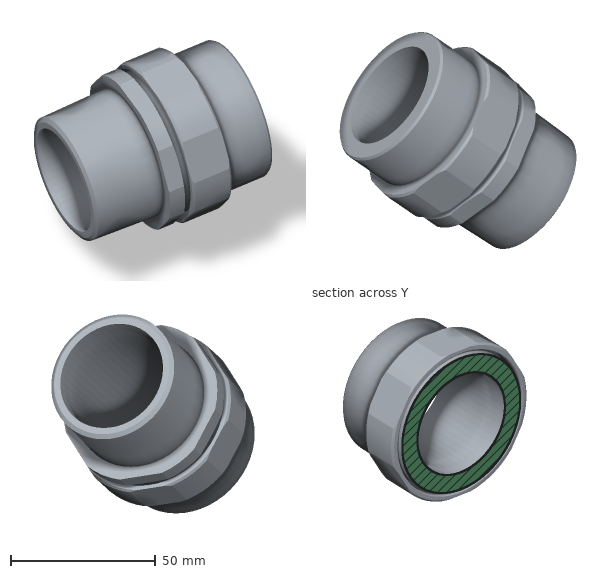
import cadquery as cq
import math


total_length = 68.8
flange_front = 26.2
flange_rear = 32.75
nut_front = 34.8
nut_rear = 50.3
joint = (nut_front + nut_rear) / 2

bore_diameter = 38.6

thread_taper = 1 / 16
thread_base_diameter = 47.85
tip_face_diameter = 43.2
tip_chamfer_length = 0.95
flange_diameter = 57.75
flange_across_flats = 55.55
flange_chamfer_diameter = 54.5
flange_chamfer_length = 0.6
collar_diameter = 52.6

tube_diameter = 51.3
tube_chamfer_length = 0.9
tube_chamfer_depth = 0.6

nut_diameter = 60.1
nut_across_flats = 57.95
nut_chamfer_length = 0.8
nut_chamfer_depth = 0.7
nut_recess_diameter = 55.1
nut_recess_depth = 6.2
nut_recess_chamfer = 0.3


def revolve_profile(points):
    """Revolve a closed outline of (radius, Y) points about the Y axis."""
    return cq.Workplane("XY").polyline(points).close().revolve(360, (0, 0), (0, 1))


def hexagon_prism(across_flats, y_start, y_end):
    """Hexagonal prism along Y with flats facing +Z and -Z."""
    across_corners = across_flats / math.cos(math.pi / 6)
    return (
        cq.Workplane("XZ", origin=(0, y_start, 0))
        .polygon(6, across_corners)
        .extrude(y_start - y_end)
    )


def make_male_end():
    """Tapered pipe with a hexagonal flange and a collar that enters the nut."""
    bore_radius = bore_diameter / 2
    flange_radius = flange_diameter / 2
    collar_radius = collar_diameter / 2
    taper_length = flange_front - tip_chamfer_length
    thread_tip_diameter = thread_base_diameter - thread_taper * taper_length

    pipe = revolve_profile([
        (bore_radius, 0),
        (tip_face_diameter / 2, 0),
        (thread_tip_diameter / 2, tip_chamfer_length),
        (thread_base_diameter / 2, flange_front),
        (bore_radius, flange_front),
    ])
    flange = revolve_profile([
        (bore_radius, flange_front),
        (flange_radius, flange_front),
        (flange_radius, flange_rear - flange_chamfer_length),
        (flange_chamfer_diameter / 2, flange_rear),
        (bore_radius, flange_rear),
    ]).intersect(hexagon_prism(flange_across_flats, flange_front, flange_rear))
    collar = revolve_profile([
        (bore_radius, flange_rear),
        (collar_radius, flange_rear),
        (collar_radius, joint),
        (bore_radius, joint),
    ])
    return pipe.union(flange).union(collar)


def make_rear_tube():
    """Plain tube that carries the nut, chamfered at its outer end."""
    bore_radius = bore_diameter / 2
    tube_radius = tube_diameter / 2
    return revolve_profile([
        (bore_radius, joint),
        (tube_radius, joint),
        (tube_radius, total_length - tube_chamfer_length),
        (tube_radius - tube_chamfer_depth, total_length),
        (bore_radius, total_length),
    ])


def make_union_nut():
    """Hexagonal nut with turned, chamfered corners and a chamfered recess around the collar."""
    tube_hole_radius = tube_diameter / 2
    collar_hole_radius = collar_diameter / 2
    recess_radius = nut_recess_diameter / 2
    nut_radius = nut_diameter / 2
    chamfer_radius = nut_radius - nut_chamfer_depth
    blank = revolve_profile([
        (recess_radius, nut_front + nut_recess_chamfer),
        (recess_radius + nut_recess_chamfer, nut_front),
        (chamfer_radius, nut_front),
        (nut_radius, nut_front + nut_chamfer_length),
        (nut_radius, nut_rear - nut_chamfer_length),
        (chamfer_radius, nut_rear),
        (tube_hole_radius, nut_rear),
        (tube_hole_radius, joint),
        (collar_hole_radius, joint),
        (collar_hole_radius, nut_front + nut_recess_depth),
        (recess_radius, nut_front + nut_recess_depth),
    ])
    return blank.intersect(hexagon_prism(nut_across_flats, nut_front, nut_rear))


male_end = make_male_end()
rear_tube = make_rear_tube()
union_nut = make_union_nut()

result = cq.Compound.makeCompound([
    *male_end.solids().vals(),
    *rear_tube.solids().vals(),
    *union_nut.solids().vals(),
])